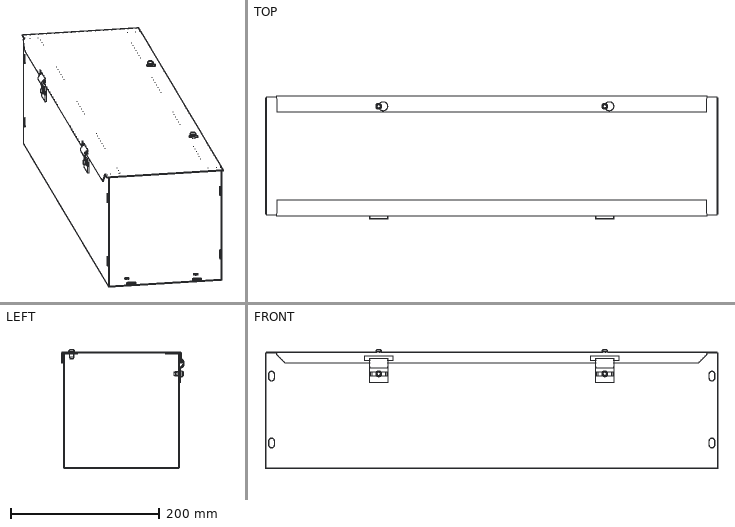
import cadquery as cq
import math

LENGTH = 609.5
TROUGH_WIDTH = 156.0
LID_TOP = 156.5
SHEET = 1.35
TROUGH_HEIGHT = LID_TOP - SHEET
TROUGH_BEND = 1.5
FLANGE_WIDTH = 19.0
FLANGE_RELIEF = 15.0
HALF_WIDTH = TROUGH_WIDTH / 2
WALL_FACE = -HALF_WIDTH

SLOT_WIDTH = 7.5
SLOT_LENGTH = 13.0
SLOT_SPACING = 90.0
SLOT_END_DISTANCE = 8.0
SLOT_ROWS_Z = 79.0
FLOOR_HOLE_DIAMETER = 6.0
FLOOR_HOLE_END_DISTANCE = 28.0
FLOOR_HOLE_SPACING = 94.5

LID_LENGTH = 608.0
LID_WIDTH = 162.0
LID_END_WIDTH = 160.0
LID_BEND = 2.75
SKIRT_DEPTH = 14.5
SKIRT_END_DISTANCE = 13.5
LATCH_OPENING_WIDTH = 38.5
LATCH_OPENING_TOP = LID_TOP - 5.5
LATCH_OPENING_BOTTOM = LID_TOP - 11.5
KEYHOLE_DIAMETER = 12.0
KEYHOLE_OFFSET = 6.0

STATIONS = [-LENGTH / 4, LENGTH / 4]
HEAD_DIAMETER = 8.0
HEAD_TOP_DIAMETER = 4.6
HEAD_HEIGHT = 3.5
HEAD_EDGE = 2.0
SHANK_DIAMETER = 6.0
SHANK_LENGTH = 9.0
TIP_DIAMETER = 4.1
TIP_TAPER = 2.5
LID_SCREW_Y = HALF_WIDTH - 11.0

LATCH_WIDTH = 24.5
LATCH_SHEET = 2.0
LATCH_BOTTOM = 116.0
LATCH_SCREW_Z = 127.5
BRIDGE_WIDTH = 22.0
BRIDGE_HEIGHT = 5.5
BRIDGE_DEPTH = 3.5
LOOP_CENTER_Z = 141.5
LOOP_RADIUS = 7.0
LATCH_FACE = WALL_FACE - LATCH_SHEET

CUT = 6.0


def block(x_range, y_range, z_range):
    """Box given by its limits along each axis."""
    sizes = [high - low for low, high in (x_range, y_range, z_range)]
    lows = (x_range[0], y_range[0], z_range[0])
    return cq.Workplane("XY").box(*sizes, centered=False).translate(lows)


def rounded_bar(length, width, z_range, radius, rounded_edges):
    """Bar along X with the selected lengthwise edges rounded."""
    bar = block((-length / 2, length / 2), (-width / 2, width / 2), z_range)
    return bar.edges(rounded_edges).fillet(radius)


def make_trough():
    outside = rounded_bar(LENGTH, TROUGH_WIDTH, (0, TROUGH_HEIGHT), TROUGH_BEND, "|X")
    inside = rounded_bar(
        LENGTH, TROUGH_WIDTH - 2 * SHEET, (SHEET, TROUGH_HEIGHT - SHEET), TROUGH_BEND - SHEET, "|X"
    )
    trough = outside.cut(inside)

    opening_half = HALF_WIDTH - FLANGE_WIDTH
    top_zone = (TROUGH_HEIGHT - TROUGH_BEND, TROUGH_HEIGHT + CUT)
    trough = trough.cut(block((-LENGTH / 2, LENGTH / 2), (-opening_half, opening_half), top_zone))

    inner_half = HALF_WIDTH - SHEET
    for low in (-LENGTH / 2, LENGTH / 2 - FLANGE_RELIEF):
        trough = trough.cut(block((low, low + FLANGE_RELIEF), (-inner_half, inner_half), top_zone))

    slot_x = LENGTH / 2 - SLOT_END_DISTANCE
    wall_slots = (
        cq.Workplane("XZ", origin=(0, 0, SLOT_ROWS_Z))
        .rarray(2 * slot_x, SLOT_SPACING, 2, 2)
        .slot2D(SLOT_LENGTH, SLOT_WIDTH, 90)
        .extrude(TROUGH_WIDTH, both=True)
    )
    floor_slots = (
        cq.Workplane("XY")
        .rarray(2 * slot_x, SLOT_SPACING, 2, 2)
        .slot2D(SLOT_LENGTH, SLOT_WIDTH, 90)
        .extrude(CUT)
    )
    hole_x = LENGTH / 2 - FLOOR_HOLE_END_DISTANCE
    floor_holes = (
        cq.Workplane("XY")
        .rarray(2 * hole_x, FLOOR_HOLE_SPACING, 2, 2)
        .circle(FLOOR_HOLE_DIAMETER / 2)
        .extrude(CUT)
    )
    trough = trough.cut(wall_slots).cut(floor_slots).cut(floor_holes)

    for x in STATIONS:
        trough = trough.cut(make_lid_screw(x)).cut(make_bridge_window(x)).cut(make_latch_screw(x))
    return trough


def make_lid():
    skirt_bottom = LID_TOP - SKIRT_DEPTH
    outside = rounded_bar(LID_LENGTH, LID_WIDTH, (skirt_bottom, LID_TOP), LID_BEND, "|X and >Z")
    inside = rounded_bar(
        LID_LENGTH, LID_WIDTH - 2 * SHEET, (skirt_bottom, TROUGH_HEIGHT), LID_BEND - SHEET, "|X and >Z"
    )
    lid = outside.cut(inside)

    upper_x = LID_LENGTH / 2 - SKIRT_END_DISTANCE
    bend_bottom = LID_TOP - LID_BEND
    lower_x = upper_x - (bend_bottom - skirt_bottom)
    corner = (
        cq.Workplane("XZ")
        .moveTo(upper_x, bend_bottom)
        .lineTo(lower_x, skirt_bottom)
        .lineTo(upper_x, skirt_bottom)
        .close()
        .extrude(LID_WIDTH, both=True)
    )
    lid = lid.cut(corner).cut(corner.mirror("YZ"))

    for low in (-LID_LENGTH / 2, upper_x):
        end_x = (low, low + SKIRT_END_DISTANCE)
        lid = lid.cut(block(end_x, (-LID_WIDTH / 2, LID_WIDTH / 2), (skirt_bottom, LID_TOP)))
        end_y = (-LID_END_WIDTH / 2, LID_END_WIDTH / 2)
        lid = lid.union(block(end_x, end_y, (TROUGH_HEIGHT, LID_TOP)))

    for x in STATIONS:
        lid = lid.cut(
            block(
                (x - LATCH_OPENING_WIDTH / 2, x + LATCH_OPENING_WIDTH / 2),
                (-LID_WIDTH / 2, WALL_FACE),
                (LATCH_OPENING_BOTTOM, LATCH_OPENING_TOP),
            )
        )
        base = cq.Workplane("XY", origin=(x, LID_SCREW_Y, TROUGH_HEIGHT))
        wide_end = base.center(KEYHOLE_OFFSET, 0).circle(KEYHOLE_DIAMETER / 2).extrude(SHEET)
        narrow_end = (
            base.center(KEYHOLE_OFFSET / 2, 0)
            .slot2D(KEYHOLE_OFFSET + SHANK_DIAMETER, SHANK_DIAMETER)
            .extrude(SHEET)
        )
        lid = lid.cut(wide_end).cut(narrow_end)
    return lid


def make_bridge_window(x):
    """Block filling the rectangular window through latch and wall that the bridge bends into."""
    return block(
        (x - BRIDGE_WIDTH / 2, x + BRIDGE_WIDTH / 2),
        (LATCH_FACE, WALL_FACE + SHEET),
        (LATCH_SCREW_Z - BRIDGE_HEIGHT / 2, LATCH_SCREW_Z + BRIDGE_HEIGHT / 2),
    )


def make_bridge(x):
    """Band of the latch pressed inward in an arc, around the screw."""
    outer_x = BRIDGE_WIDTH / 2
    inner_x = outer_x - LATCH_SHEET
    return (
        cq.Workplane("XY", origin=(x, LATCH_FACE, LATCH_SCREW_Z - BRIDGE_HEIGHT / 2))
        .moveTo(-inner_x, 0)
        .threePointArc((0, BRIDGE_DEPTH), (inner_x, 0))
        .lineTo(outer_x, 0)
        .threePointArc((0, BRIDGE_DEPTH + LATCH_SHEET), (-outer_x, 0))
        .close()
        .extrude(BRIDGE_HEIGHT)
    )


def make_latch(x):
    """Spring strip screwed to the wall, looping out and back in through the skirt opening."""
    inner_radius = LOOP_RADIUS - LATCH_SHEET
    loop_start = LOOP_CENTER_Z - math.sqrt(LOOP_RADIUS**2 - LATCH_SHEET**2)
    strip = (
        cq.Workplane("YZ", origin=(x, 0, 0))
        .moveTo(WALL_FACE, LATCH_BOTTOM)
        .lineTo(LATCH_FACE, LATCH_BOTTOM)
        .lineTo(LATCH_FACE, loop_start)
        .threePointArc((WALL_FACE - LOOP_RADIUS, LOOP_CENTER_Z), (WALL_FACE, LOOP_CENTER_Z + LOOP_RADIUS))
        .lineTo(WALL_FACE, LOOP_CENTER_Z + inner_radius)
        .threePointArc((WALL_FACE - inner_radius, LOOP_CENTER_Z), (WALL_FACE, LOOP_CENTER_Z - inner_radius))
        .close()
        .extrude(LATCH_WIDTH / 2, both=True)
    )
    strip = strip.cut(make_bridge_window(x)).union(make_bridge(x))
    return strip.cut(make_latch_screw(x))


def make_screw():
    """Screw along Z with the underside of its tapered head at the origin."""
    return (
        cq.Workplane("XZ")
        .moveTo(0, -SHANK_LENGTH)
        .lineTo(TIP_DIAMETER / 2, -SHANK_LENGTH)
        .lineTo(SHANK_DIAMETER / 2, -SHANK_LENGTH + TIP_TAPER)
        .lineTo(SHANK_DIAMETER / 2, 0)
        .lineTo(HEAD_DIAMETER / 2, 0)
        .lineTo(HEAD_DIAMETER / 2, HEAD_EDGE)
        .lineTo(HEAD_TOP_DIAMETER / 2, HEAD_HEIGHT)
        .lineTo(0, HEAD_HEIGHT)
        .close()
        .revolve(360, (0, 0, 0), (0, 1, 0))
    )


def make_lid_screw(x):
    return make_screw().translate((x, LID_SCREW_Y, LID_TOP))


def make_latch_screw(x):
    turned = make_screw().rotate((0, 0, 0), (1, 0, 0), 90)
    return turned.translate((x, LATCH_FACE, LATCH_SCREW_Z))


trough = make_trough()
lid = make_lid()
latches = [make_latch(x) for x in STATIONS]
lid_screws = [make_lid_screw(x) for x in STATIONS]
latch_screws = [make_latch_screw(x) for x in STATIONS]

bodies = [trough, lid, *latches, *lid_screws, *latch_screws]
result = cq.Compound.makeCompound([body.val() for body in bodies])